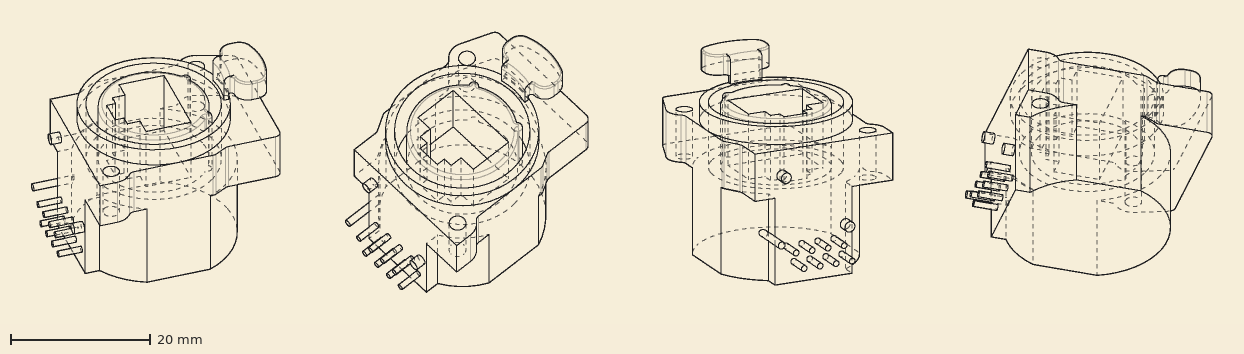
import cadquery as cq
import math


PLATE_BOTTOM = 13.16
PLATE_TOP = 20.33
RING_TOP = 23.04
CAP_BOTTOM = 24.09
CAP_TOP = 27.15

HALF_WIDTH = 11.0
FRONT_Y = -12.5
BACK_Y = 16.1
HOUSING_RADIUS = 12.0
PIN_BLOCK_HALF_WIDTH = 6.13
LOWER_LEFT_X = -9.3
LOWER_STEP_OUTER_Y = -5.27
LOWER_STEP_INNER_Y = -8.1
UPPER_RIGHT_X = 9.75
UPPER_STEP_OUTER_Y = 5.5
UPPER_STEP_INNER_Y = 7.7
PLATE_BLEND = 1.0
BACK_CORNER_RADIUS = 1.0

HOLE_OFFSET = 9.86
HOLE_RADIUS = 1.2
LEFT_EAR_RADIUS = 2.64
RIGHT_EAR_RADIUS = 2.74
EAR_EDGE_ANGLE = math.radians(20)

RING_RADIUS = 11.0
RING_BORE_RADIUS = 9.7
INSERT_RADIUS = 7.97
GROOVE_FLOOR = PLATE_BOTTOM
KEY_RADIUS = 0.7
KEY_ANGLES = (54.3, 125.7)
KEY_BLEND = 0.2
INSERT_EDGE_RADIUS = 0.53

JACK_TOP_Y = 3.61
JACK_STEPS = ((5.91, -3.2), (3.29, -5.13), (1.83, -6.49))
JACK_FLOOR = PLATE_BOTTOM

PIN_LENGTH = 3.53
PIN_RADIUS = 0.44
PINS_PER_ROW = 4
PIN_PITCH = 2.54
UPPER_ROW_Z = 5.72
UPPER_ROW_START_X = -1.75 * PIN_PITCH
PIN_ROWS = (
    (UPPER_ROW_START_X, UPPER_ROW_Z),
    (UPPER_ROW_START_X + PIN_PITCH / 2, UPPER_ROW_Z - PIN_PITCH),
)
GROUND_PIN_X = -6.75
GROUND_PIN_Z = 7.19
GROUND_PIN_RADIUS = 0.54
PEG_LENGTH = 1.5
PEG_RADIUS = 0.79
PEG_CENTERS = ((-5.05, 16.5), (5.05, 7.65))

CAP_HALF_WIDTH = 5.0
CAP_CORNER_RADIUS = 2.0
CAP_SIDE_TOP_Y = 14.0
CAP_BACK_Y = 16.55
CAP_EDGE_RADIUS = 0.25
STRAP_HALF_WIDTH = 2.5
STRAP_INNER_RADIUS = 10.15
STRAP_OUTER_RADIUS = 10.85
STRAP_BEND_RADIUS = 0.85
CAP_NECK_BLEND = 0.5

JOIN_OVERLAP = 0.5


def disc(radius, bottom, top):
    """Cylinder on the Z axis between two heights."""
    return cq.Workplane("XY").workplane(offset=bottom).circle(radius).extrude(top - bottom)


def front_cylinder(x, z, radius, inner_y, outer_y):
    """Cylinder along Y that ends at outer_y, toward -Y."""
    plane = cq.Workplane("XZ", origin=(0, inner_y, 0))
    return plane.center(x, z).circle(radius).extrude(inner_y - outer_y)


def fillet_upright_edge(solid, x, y, radius):
    """Round the single vertical edge that passes through (x, y)."""
    reach = 0.01
    far = 2 * CAP_TOP
    box = cq.selectors.BoxSelector((x - reach, y - reach, -far), (x + reach, y + reach, far))
    return solid.edges("|Z").edges(box).fillet(radius)


def make_plate():
    cos_edge = math.cos(EAR_EDGE_ANGLE)
    sin_edge = math.sin(EAR_EDGE_ANGLE)
    slant_x = -HOLE_OFFSET - LEFT_EAR_RADIUS * cos_edge
    slant_y = HOLE_OFFSET + LEFT_EAR_RADIUS * sin_edge
    back_left_x = slant_x + (BACK_Y - slant_y) * math.tan(EAR_EDGE_ANGLE)
    side_offset = HALF_WIDTH - HOLE_OFFSET
    left_ear_y = HOLE_OFFSET - math.sqrt(LEFT_EAR_RADIUS**2 - side_offset**2)
    right_ear_y = -HOLE_OFFSET + math.sqrt(RIGHT_EAR_RADIUS**2 - side_offset**2)
    right_ear_x = HOLE_OFFSET + RIGHT_EAR_RADIUS
    diagonal = math.sqrt(0.5) * RIGHT_EAR_RADIUS

    plate = (
        cq.Workplane("XY")
        .workplane(offset=PLATE_BOTTOM)
        .moveTo(LOWER_LEFT_X, FRONT_Y)
        .lineTo(right_ear_x, FRONT_Y)
        .lineTo(right_ear_x, -HOLE_OFFSET)
        .threePointArc(
            (HOLE_OFFSET + diagonal, -HOLE_OFFSET + diagonal),
            (HALF_WIDTH, right_ear_y),
        )
        .lineTo(HALF_WIDTH, UPPER_STEP_OUTER_Y)
        .lineTo(UPPER_RIGHT_X, UPPER_STEP_INNER_Y)
        .lineTo(UPPER_RIGHT_X, BACK_Y)
        .lineTo(back_left_x, BACK_Y)
        .lineTo(slant_x, slant_y)
        .threePointArc(
            (-HOLE_OFFSET - LEFT_EAR_RADIUS, HOLE_OFFSET),
            (-HALF_WIDTH, left_ear_y),
        )
        .lineTo(-HALF_WIDTH, LOWER_STEP_OUTER_Y)
        .lineTo(LOWER_LEFT_X, LOWER_STEP_INNER_Y)
        .close()
        .extrude(PLATE_TOP - PLATE_BOTTOM)
    )
    rounded_corners = (
        (-HALF_WIDTH, left_ear_y, PLATE_BLEND),
        (HALF_WIDTH, right_ear_y, PLATE_BLEND),
        (-HALF_WIDTH, LOWER_STEP_OUTER_Y, PLATE_BLEND),
        (LOWER_LEFT_X, LOWER_STEP_INNER_Y, PLATE_BLEND),
        (HALF_WIDTH, UPPER_STEP_OUTER_Y, PLATE_BLEND),
        (UPPER_RIGHT_X, UPPER_STEP_INNER_Y, PLATE_BLEND),
        (back_left_x, BACK_Y, BACK_CORNER_RADIUS),
        (UPPER_RIGHT_X, BACK_Y, BACK_CORNER_RADIUS),
    )
    for x, y, radius in rounded_corners:
        plate = fillet_upright_edge(plate, x, y, radius)
    hole_centers = [(-HOLE_OFFSET, HOLE_OFFSET), (HOLE_OFFSET, -HOLE_OFFSET)]
    holes = cq.Workplane("XY").pushPoints(hole_centers).circle(HOLE_RADIUS).extrude(RING_TOP)
    return plate.cut(holes)


def make_housing():
    """Round housing with flat left and right sides and a block that carries the pins."""
    side_trim = cq.Workplane("XY").rect(2 * HALF_WIDTH, 2 * HOUSING_RADIUS).extrude(PLATE_BOTTOM)
    pin_block = (
        cq.Workplane("XY")
        .moveTo(-PIN_BLOCK_HALF_WIDTH, FRONT_Y)
        .lineTo(PIN_BLOCK_HALF_WIDTH, FRONT_Y)
        .lineTo(PIN_BLOCK_HALF_WIDTH, 0)
        .lineTo(-PIN_BLOCK_HALF_WIDTH, 0)
        .close()
        .extrude(PLATE_BOTTOM)
    )
    return disc(HOUSING_RADIUS, 0, PLATE_BOTTOM).intersect(side_trim).union(pin_block)


def make_insert():
    """Round jack insert with two small keys and a rounded top edge."""
    insert = disc(INSERT_RADIUS, GROOVE_FLOOR, RING_TOP)
    for angle in KEY_ANGLES:
        x = INSERT_RADIUS * math.cos(math.radians(angle))
        y = INSERT_RADIUS * math.sin(math.radians(angle))
        insert = insert.union(disc(KEY_RADIUS, GROOVE_FLOOR, RING_TOP).translate((x, y, 0)))
    half_angle = 2 * math.asin(KEY_RADIUS / (2 * INSERT_RADIUS))
    for angle in KEY_ANGLES:
        for side in (-1, 1):
            corner_angle = math.radians(angle) + side * half_angle
            x = INSERT_RADIUS * math.cos(corner_angle)
            y = INSERT_RADIUS * math.sin(corner_angle)
            insert = fillet_upright_edge(insert, x, y, KEY_BLEND)
    return insert.faces(">Z").edges().fillet(INSERT_EDGE_RADIUS)


def cut_jack_opening(body):
    depth = RING_TOP - JACK_FLOOR
    for half_width, lower_y in JACK_STEPS:
        step = (
            cq.Workplane("XY")
            .workplane(offset=JACK_FLOOR)
            .center(0, (JACK_TOP_Y + lower_y) / 2)
            .rect(2 * half_width, JACK_TOP_Y - lower_y)
            .extrude(depth)
        )
        body = body.cut(step)
    return body


def add_pins(body):
    pin_end = FRONT_Y - PIN_LENGTH
    root_y = FRONT_Y + JOIN_OVERLAP
    for row_start, height in PIN_ROWS:
        for index in range(PINS_PER_ROW):
            x = row_start + index * PIN_PITCH
            body = body.union(front_cylinder(x, height, PIN_RADIUS, root_y, pin_end))
    for x, z in PEG_CENTERS:
        body = body.union(front_cylinder(x, z, PEG_RADIUS, root_y, FRONT_Y - PEG_LENGTH))
    wall_y = -math.sqrt(HOUSING_RADIUS**2 - GROUND_PIN_X**2)
    wall_root_y = wall_y + 2 * JOIN_OVERLAP
    return body.union(
        front_cylinder(GROUND_PIN_X, GROUND_PIN_Z, GROUND_PIN_RADIUS, wall_root_y, pin_end)
    )


def make_latch_cap():
    """Oval cap with a concave blend into the strap; its front edge is an arc about the ring axis."""
    neck_radius = STRAP_INNER_RADIUS + STRAP_BEND_RADIUS
    neck_y = math.sqrt(neck_radius**2 - STRAP_HALF_WIDTH**2)
    blend_x = STRAP_HALF_WIDTH + CAP_NECK_BLEND
    blend_y = neck_y + CAP_NECK_BLEND
    corner_x = CAP_HALF_WIDTH - CAP_CORNER_RADIUS
    corner_y = CAP_SIDE_TOP_Y
    side_bottom_y = blend_y + CAP_CORNER_RADIUS
    diagonal = math.sqrt(0.5)

    rise = CAP_BACK_Y - corner_y
    back_radius = (corner_x**2 + rise**2 - CAP_CORNER_RADIUS**2) / (2 * (rise - CAP_CORNER_RADIUS))
    turn = math.asin(corner_x / (back_radius - CAP_CORNER_RADIUS))
    back_x = back_radius * math.sin(turn)
    back_y = CAP_BACK_Y - back_radius * (1 - math.cos(turn))
    middle_turn = (math.pi / 2 + turn) / 2
    rear_mid_x = corner_x + CAP_CORNER_RADIUS * math.sin(middle_turn)
    rear_mid_y = corner_y + CAP_CORNER_RADIUS * math.cos(middle_turn)
    lower_mid_x = corner_x + CAP_CORNER_RADIUS * diagonal
    lower_mid_y = side_bottom_y - CAP_CORNER_RADIUS * diagonal
    blend_mid_x = blend_x - CAP_NECK_BLEND * diagonal
    blend_mid_y = neck_y + CAP_NECK_BLEND * diagonal

    cap = (
        cq.Workplane("XY")
        .workplane(offset=CAP_BOTTOM)
        .moveTo(-STRAP_HALF_WIDTH, neck_y)
        .threePointArc((0, neck_radius), (STRAP_HALF_WIDTH, neck_y))
        .threePointArc((blend_mid_x, blend_mid_y), (blend_x, blend_y))
        .threePointArc((lower_mid_x, lower_mid_y), (CAP_HALF_WIDTH, side_bottom_y))
        .lineTo(CAP_HALF_WIDTH, corner_y)
        .threePointArc((rear_mid_x, rear_mid_y), (back_x, back_y))
        .threePointArc((0, CAP_BACK_Y), (-back_x, back_y))
        .threePointArc((-rear_mid_x, rear_mid_y), (-CAP_HALF_WIDTH, corner_y))
        .lineTo(-CAP_HALF_WIDTH, side_bottom_y)
        .threePointArc((-lower_mid_x, lower_mid_y), (-blend_x, blend_y))
        .threePointArc((-blend_mid_x, blend_mid_y), (-STRAP_HALF_WIDTH, neck_y))
        .close()
        .extrude(CAP_TOP - CAP_BOTTOM)
    )
    strap_edge = cq.selectors.NearestToPointSelector((0, neck_radius, CAP_TOP))
    around_cap = cap.faces(">Z").edges(cq.selectors.InverseSelector(strap_edge))
    return around_cap.fillet(CAP_EDGE_RADIUS)


def make_latch_strap():
    """Curved strap, bent back at the top to run into the cap."""
    head_radius = STRAP_INNER_RADIUS + STRAP_BEND_RADIUS + JOIN_OVERLAP
    strap = (
        cq.Workplane("XZ")
        .moveTo(STRAP_INNER_RADIUS, PLATE_TOP)
        .lineTo(STRAP_OUTER_RADIUS, PLATE_TOP)
        .lineTo(STRAP_OUTER_RADIUS, CAP_BOTTOM)
        .lineTo(head_radius, CAP_BOTTOM)
        .lineTo(head_radius, CAP_TOP)
        .lineTo(STRAP_INNER_RADIUS + STRAP_BEND_RADIUS, CAP_TOP)
        .radiusArc((STRAP_INNER_RADIUS, CAP_TOP - STRAP_BEND_RADIUS), -STRAP_BEND_RADIUS)
        .close()
        .revolve(360, (0, 0), (0, 1))
    )
    limits = (
        cq.Workplane("XY")
        .center(0, STRAP_INNER_RADIUS)
        .rect(2 * STRAP_HALF_WIDTH, STRAP_INNER_RADIUS)
        .extrude(CAP_TOP)
    )
    return strap.intersect(limits)


body = make_housing().union(make_plate()).union(disc(RING_RADIUS, PLATE_TOP, RING_TOP))
body = body.cut(disc(RING_BORE_RADIUS, GROOVE_FLOOR, RING_TOP))
body = body.union(make_insert())
body = cut_jack_opening(body)
body = add_pins(body)
result = body.union(make_latch_strap()).union(make_latch_cap())